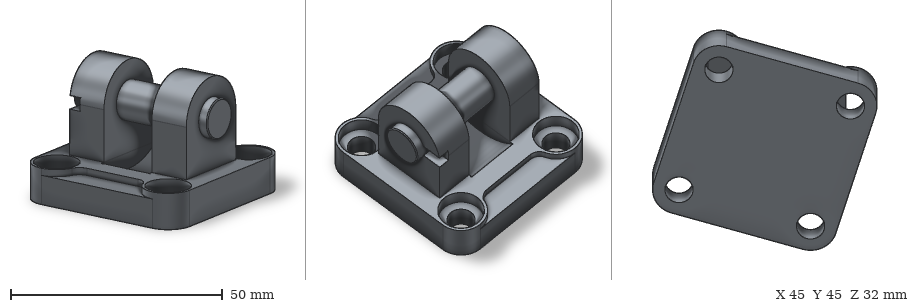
import cadquery as cq
import math

base_side = 45.0
base_height = 9.0
corner_radius = 6.25
hole_offset = base_side / 2 - corner_radius
hole_diameter = 6.6
counterbore_diameter = 11.0
counterbore_depth = 3.5

recess_depth = 1.75
recess_fillet = 3.0

lug_radius = 10.0
lug_span = 34.0
lug_gap = 14.0
lug_width = (lug_span - lug_gap) / 2
axis_height = 22.0
saddle_radius = 17.0

pin_radius = 5.0
pin_length = 39.0
pin_chamfer = 0.25
slot_depth = 3.0
slot_height = 3.35


def x_cylinder(radius, length):
    """Cylinder on the pin axis, centred on X = 0."""
    return (
        cq.Workplane("YZ", origin=(-length / 2, 0, axis_height))
        .circle(radius)
        .extrude(length)
    )


def make_base():
    return (
        cq.Workplane("XY")
        .rect(base_side, base_side)
        .extrude(base_height)
        .edges("|Z")
        .fillet(corner_radius)
    )


def edge_recess():
    """Recess at the -Y edge, curving around the two corner bosses."""
    center_distance = corner_radius + recess_fillet
    blend_run = math.sqrt(center_distance**2 - recess_fillet**2)
    boss_share = corner_radius / center_distance
    wall_x = hole_offset - blend_run
    wall_y = -hole_offset
    edge_y = -base_side / 2
    touch_x = hole_offset - blend_run * boss_share
    touch_y = wall_y - recess_fillet * boss_share

    blend_y = wall_y - recess_fillet
    blend_mid_angle = (math.pi / 2 + math.atan2(touch_y - blend_y, touch_x - wall_x)) / 2
    blend_mid_x = wall_x + recess_fillet * math.cos(blend_mid_angle)
    blend_mid_y = blend_y + recess_fillet * math.sin(blend_mid_angle)

    boss_mid_angle = (math.atan2(touch_y - wall_y, touch_x - hole_offset) - math.pi / 2) / 2
    boss_mid_x = hole_offset + corner_radius * math.cos(boss_mid_angle)
    boss_mid_y = wall_y + corner_radius * math.sin(boss_mid_angle)

    return (
        cq.Workplane("XY", origin=(0, 0, base_height - recess_depth))
        .moveTo(-hole_offset, edge_y)
        .lineTo(hole_offset, edge_y)
        .threePointArc((boss_mid_x, boss_mid_y), (touch_x, touch_y))
        .threePointArc((blend_mid_x, blend_mid_y), (wall_x, wall_y))
        .lineTo(-wall_x, wall_y)
        .threePointArc((-blend_mid_x, blend_mid_y), (-touch_x, touch_y))
        .threePointArc((-boss_mid_x, boss_mid_y), (-hole_offset, edge_y))
        .close()
        .extrude(recess_depth)
    )


def make_lug(start_x):
    """Round-topped lug standing on the base, starting at start_x."""
    return (
        cq.Workplane("YZ", origin=(start_x, 0, 0))
        .moveTo(-lug_radius, base_height)
        .lineTo(lug_radius, base_height)
        .lineTo(lug_radius, axis_height)
        .threePointArc((0, axis_height + lug_radius), (-lug_radius, axis_height))
        .close()
        .extrude(lug_width)
    )


def locking_slot():
    """Slot in the outer face of the -X lug, from the pin out to the -Y side."""
    return cq.Workplane("XY").box(
        slot_depth, lug_radius, slot_height, centered=(False, False, True)
    ).translate((-lug_span / 2, -lug_radius, axis_height))


body = make_base()
recess = edge_recess()
body = body.cut(recess).cut(recess.mirror("XZ"))
body = (
    body.faces(">Z")
    .workplane(origin=(0, 0, base_height))
    .rect(2 * hole_offset, 2 * hole_offset, forConstruction=True)
    .vertices()
    .cboreHole(hole_diameter, counterbore_diameter, counterbore_depth)
)

for lug_start in (-lug_span / 2, lug_gap / 2):
    body = body.union(make_lug(lug_start))

body = body.cut(x_cylinder(saddle_radius, lug_gap))
body = body.cut(locking_slot())

pin = x_cylinder(pin_radius, pin_length).faces("<X or >X").chamfer(pin_chamfer)
result = body.union(pin)